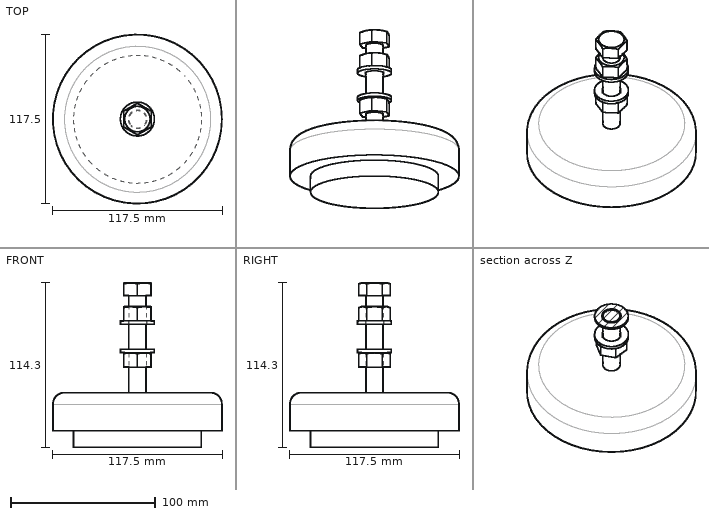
import cadquery as cq
import math

overall_height = 114.3

cover_diameter = 117.475
cover_height = 26.7
cover_edge_radius = 8.0

base_diameter = 88.9
base_height = 11.4

thread_diameter = 12.0
hex_across_flats = 19.0
hex_chamfer_diameter = 17.6
hex_chamfer_angle = 20.0

head_height = 9.0
nut_height = 10.0

washer_diameter = 23.6
washer_hole_diameter = 13.0
washer_thickness = 2.4

lower_nut_gap = 17.7
washer_gap = 17.2

cover_top = cover_height
lower_nut_z = cover_top + lower_nut_gap
lower_washer_z = lower_nut_z + nut_height
upper_washer_z = lower_washer_z + washer_thickness + washer_gap
upper_nut_z = upper_washer_z + washer_thickness
head_top = overall_height - base_height
head_z = head_top - head_height


def cylinder(diameter, height, bottom):
    return cq.Workplane("XY").workplane(offset=bottom).circle(diameter / 2).extrude(height)


def chamfered_hexagon(height, bottom):
    """Hexagonal prism with corners on +/-Y and a conical chamfer on its top."""
    corner_diameter = hex_across_flats / math.cos(math.radians(30))
    prism = (
        cq.Workplane("XY")
        .workplane(offset=bottom)
        .transformed(rotate=(0, 0, 90))
        .polygon(6, corner_diameter)
        .extrude(height)
    )
    corner_radius = corner_diameter / 2
    chamfer_radius = hex_chamfer_diameter / 2
    corner_drop = (corner_radius - chamfer_radius) * math.tan(math.radians(hex_chamfer_angle))
    top = bottom + height
    envelope = (
        cq.Workplane("XZ")
        .moveTo(0, bottom)
        .lineTo(corner_radius, bottom)
        .lineTo(corner_radius, top - corner_drop)
        .lineTo(chamfer_radius, top)
        .lineTo(0, top)
        .close()
        .revolve(360, (0, 0, 0), (0, 1, 0))
    )
    return prism.intersect(envelope)


def make_base():
    """Plain disc under the cover."""
    return cylinder(base_diameter, base_height, -base_height)


def make_cover():
    """Large disc with a rounded upper rim."""
    return cylinder(cover_diameter, cover_height, 0).faces(">Z").edges().fillet(cover_edge_radius)


def make_bolt():
    """Shank standing on the cover, with a hexagonal head at its upper end."""
    shank = cylinder(thread_diameter, head_z - cover_top, cover_top)
    return shank.union(chamfered_hexagon(head_height, head_z))


def make_nut(bottom):
    return chamfered_hexagon(nut_height, bottom).cut(cylinder(thread_diameter, nut_height, bottom))


def make_washer(bottom):
    disc = cylinder(washer_diameter, washer_thickness, bottom)
    return disc.cut(cylinder(washer_hole_diameter, washer_thickness, bottom))


base = make_base()
cover = make_cover()
bolt = make_bolt()
nuts = [make_nut(z) for z in (lower_nut_z, upper_nut_z)]
washers = [make_washer(z) for z in (lower_washer_z, upper_washer_z)]

bodies = [base, cover, bolt, *nuts, *washers]
result = cq.Compound.makeCompound([body.val() for body in bodies])